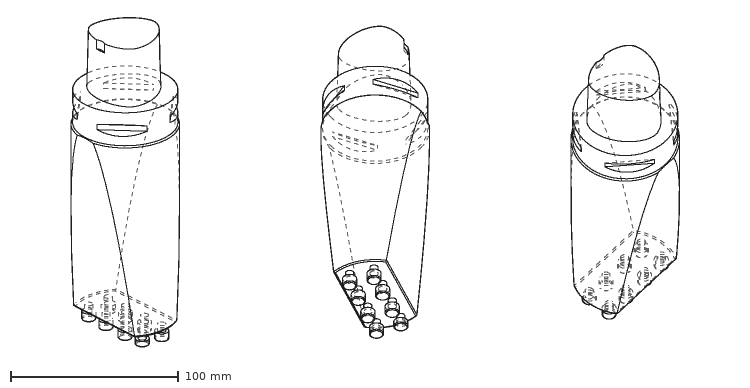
import cadquery as cq
import math

total_height = 198.0
shank_length = 38.0
flange_top = total_height - shank_length
body_top = 138.0
body_bottom = 10.0

body_radius = 32.5
body_chamfer = 1.0
flat_half_width_top = 31.78
flat_half_width_bottom = 16.6
bottom_chamfer_height = 1.0
bottom_chamfer_inset = 0.5

flange_radius = 31.5
groove_center_height = 148.1
groove_floor_width = 3.5
groove_chord = 29.7
groove_flare_angle = 30.0
groove_count = 4

shank_base_diameter = 44.4
shank_taper = 1 / 20
lobe_offset = 1.5
profile_points = 48

notch_width = 8.0
notch_height = 6.0
notch_depth = 1.2

screw_stem_radius = 5.0 / 2
screw_head_radius = 8.5 / 2
screw_head_height = 5.5
screw_head_chamfer = 0.5
screw_xs = (-24.4, -8.7, 8.7, 24.4)
screw_ys = (-7.7, 7.7)

short_screw = (screw_xs[-1], screw_ys[0])
short_screw_bottom = 1.5


def lobe_point(diameter, angle):
    """Point on the three-lobed profile, with one lobe toward +Y."""
    radius = diameter / 2
    along = radius * math.cos(angle)
    along += lobe_offset * (math.cos(4 * angle) - 2 * math.cos(2 * angle))
    across = radius * math.sin(angle)
    across += lobe_offset * (math.sin(4 * angle) + 2 * math.sin(2 * angle))
    return across, -along


def lobe_wire(diameter, height):
    points = []
    for i in range(profile_points):
        x, y = lobe_point(diameter, 2 * math.pi * i / profile_points)
        points.append(cq.Vector(x, y, height))
    return cq.Wire.assembleEdges([cq.Edge.makeSpline(points, periodic=True)])


def make_shank():
    tip_diameter = shank_base_diameter - shank_taper * shank_length
    base = lobe_wire(shank_base_diameter, flange_top)
    tip = lobe_wire(tip_diameter, total_height)
    shank = cq.Workplane(cq.Solid.makeLoft([base, tip], True))

    notch_radius = ((notch_width / 2) ** 2 + notch_depth**2) / (2 * notch_depth)
    face_y = -(tip_diameter / 2 - lobe_offset)
    notch = (
        cq.Workplane("XY", origin=(0, 0, total_height - notch_height))
        .center(0, face_y + notch_depth - notch_radius)
        .circle(notch_radius)
        .extrude(notch_height)
    )
    return shank.cut(notch)


def make_flange():
    flange = cq.Workplane("XY", origin=(0, 0, body_top)).circle(flange_radius).extrude(flange_top - body_top)
    floor_distance = math.sqrt(flange_radius**2 - (groove_chord / 2) ** 2)
    half_floor = groove_floor_width / 2
    flare = (flange_radius - floor_distance) * math.tan(math.radians(groove_flare_angle))
    groove = (
        cq.Workplane("XZ", origin=(0, 0, groove_center_height))
        .moveTo(floor_distance, -half_floor)
        .lineTo(flange_radius, -half_floor - flare)
        .lineTo(flange_radius, half_floor + flare)
        .lineTo(floor_distance, half_floor)
        .close()
        .extrude(flange_radius, both=True)
    )
    spacing = 360 / groove_count
    for i in range(groove_count):
        flange = flange.cut(groove.rotate((0, 0, 0), (0, 0, 1), spacing * (i + 0.5)))
    return flange


def make_body():
    height = body_top - body_bottom
    cylinder = (
        cq.Workplane("XY", origin=(0, 0, body_bottom))
        .circle(body_radius)
        .extrude(height)
        .faces(">Z")
        .edges()
        .chamfer(body_chamfer)
    )
    wedge = (
        cq.Workplane("YZ")
        .moveTo(-flat_half_width_bottom, body_bottom)
        .lineTo(flat_half_width_bottom, body_bottom)
        .lineTo(flat_half_width_top, body_top)
        .lineTo(-flat_half_width_top, body_top)
        .close()
        .extrude(body_radius, both=True)
    )
    body = cylinder.intersect(wedge)
    rim = body.faces("<Z").edges().vals()
    chamfered = body.val().chamfer(bottom_chamfer_height, bottom_chamfer_inset, rim)
    return cq.Workplane(chamfered)


def make_screw(x, y, head_bottom):
    head = (
        cq.Workplane("XY", origin=(x, y, head_bottom))
        .circle(screw_head_radius)
        .extrude(screw_head_height - head_bottom)
        .faces("<Z")
        .edges()
        .chamfer(screw_head_chamfer)
    )
    stem_length = body_bottom - screw_head_height
    stem = cq.Workplane("XY", origin=(x, y, screw_head_height)).circle(screw_stem_radius).extrude(stem_length)
    return head.union(stem)


result = make_body().union(make_flange()).union(make_shank())
for screw_x in screw_xs:
    for screw_y in screw_ys:
        is_short = (screw_x, screw_y) == short_screw
        result = result.union(make_screw(screw_x, screw_y, short_screw_bottom if is_short else 0))